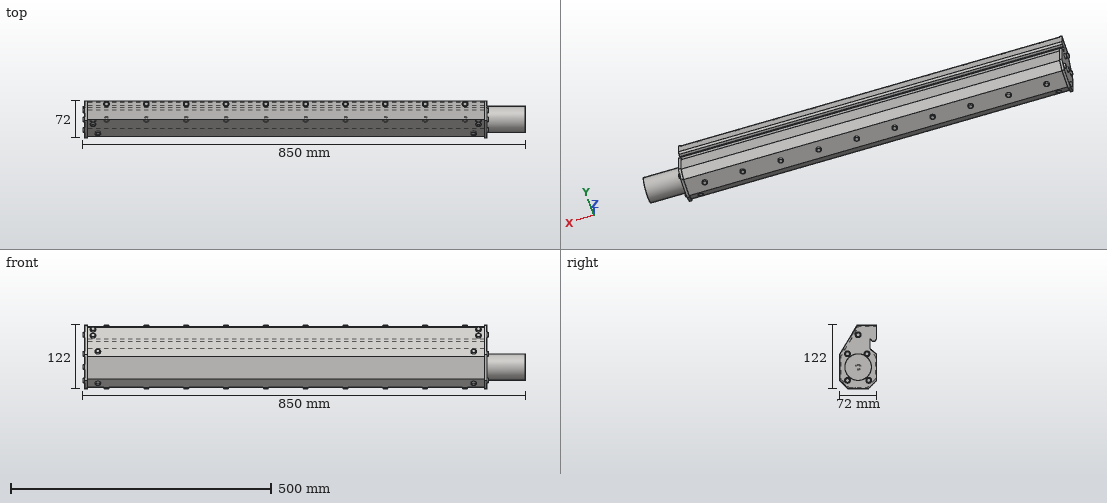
import cadquery as cq

total_length = 850.0
plate_head_height = 3.0
plate_thickness = 5.0
housing_length = 772.0
plate_start = plate_head_height
plate_end = plate_start + housing_length
middle_x = (plate_start + plate_end) / 2

half_width = 36.0
plate_height = 122.0
plate_bottom_half_width = 19.5
plate_chamfer_top = 16.0
plate_shoulder = 66.0
plate_front_top_y = -2.0

inset = 2.5
body_half_width = half_width - inset
body_top = plate_height - inset
body_bottom_half_width = 18.0
body_chamfer_top = 19.0
body_shoulder = 62.0
body_front_top_y = 0.0
body_front_step = 2.0
body_slant_top = body_top - body_front_step

undercut_y = 23.0
undercut_bottom = 77.0
undercut_top = 96.0
lip_bottom = 91.0
lip_outer_y = 32.0
lip_inner_y = 27.0

pipe_diameter = 51.0
axis_z = 42.0

head_diameter = 11.0
head_top_diameter = 7.6
body_head_height = 2.5
head_sink = 1.0

plate_screws = [(0, 104.0), (17.0, 67.0), (-20.0, 67.0), (20.0, 16.0), (-20.0, 16.0)]
row_count = 10
row_pitch = 76.5
top_row_y = 30.0
corner_screw_inset = 25.5
upper_screw_inset = 16.0
corner_screw_z = 71.0
upper_screw_heights = (102.0, 114.0)


def rear_undercut():
    """Rear edge shared by plates and housing, from the top corner down to the undercut."""
    return [
        (half_width, undercut_top),
        (lip_outer_y, lip_bottom),
        (lip_inner_y, lip_bottom),
        (undercut_y, undercut_top),
        (undercut_y, undercut_bottom),
    ]


def prism(outline, start, length):
    """Extrude a closed (Y, Z) outline along X."""
    return cq.Workplane("YZ", origin=(start, 0, 0)).polyline(outline).close().extrude(length)


def front_point(x, z):
    """Point on the slanted front of the housing at height z."""
    return (x, -body_half_width + (z - body_shoulder) * front_run / front_rise, z)


def screw_head(position, direction, height=body_head_height):
    """Screw head standing on a face at position, pointing along direction."""
    normal = cq.Vector(*direction).normalized()
    base = cq.Vector(*position)
    foot = cq.Solid.makeCylinder(head_diameter / 2, head_sink, base - normal * head_sink, normal)
    cone = cq.Solid.makeCone(head_diameter / 2, head_top_diameter / 2, height, base, normal)
    return foot.fuse(cone)


body_outline = [
    (-body_bottom_half_width, inset),
    (-body_half_width, body_chamfer_top),
    (-body_half_width, body_shoulder),
    (body_front_top_y, body_slant_top),
    (body_front_top_y, body_top),
    (half_width, body_top),
    *rear_undercut(),
    (body_half_width, body_shoulder),
    (body_half_width, body_chamfer_top),
    (body_bottom_half_width, inset),
]
result = prism(body_outline, plate_start, housing_length)

plate_outline = [
    (-plate_bottom_half_width, 0),
    (-half_width, plate_chamfer_top),
    (-half_width, plate_shoulder),
    (plate_front_top_y, plate_height),
    (half_width, plate_height),
    *rear_undercut(),
    (half_width, plate_shoulder),
    (half_width, plate_chamfer_top),
    (plate_bottom_half_width, 0),
]
for start in (plate_start, plate_end - plate_thickness):
    result = result.union(prism(plate_outline, start, plate_thickness))

pipe_root = plate_end - plate_thickness
pipe_profile = cq.Workplane("YZ", origin=(pipe_root, 0, axis_z)).circle(pipe_diameter / 2)
result = result.union(pipe_profile.extrude(total_length - pipe_root))

heads = []

for y, z in plate_screws:
    heads.append(screw_head((plate_start, y, z), (-1, 0, 0), plate_head_height))
    heads.append(screw_head((plate_end, y, z), (1, 0, 0), plate_head_height))
heads.append(screw_head((plate_start, 0, axis_z), (-1, 0, 0), plate_head_height))

for i in range(row_count):
    x = middle_x + (i - (row_count - 1) / 2) * row_pitch
    heads.append(screw_head((x, top_row_y, body_top), (0, 0, 1)))
    heads.append(screw_head((x, 0, inset), (0, 0, -1)))

front_run = body_half_width + body_front_top_y
front_rise = body_slant_top - body_shoulder
front_normal = (0, -front_rise, front_run)
chamfer_run = body_half_width - body_bottom_half_width
chamfer_rise = body_chamfer_top - inset
chamfer_normal = (0, -chamfer_rise, -chamfer_run)
chamfer_y = -(body_half_width + body_bottom_half_width) / 2
chamfer_z = (body_chamfer_top + inset) / 2

for side in (-1, 1):
    corner_x = middle_x + side * (housing_length / 2 - corner_screw_inset)
    upper_x = middle_x + side * (housing_length / 2 - upper_screw_inset)
    heads.append(screw_head(front_point(corner_x, corner_screw_z), front_normal))
    heads.append(screw_head((corner_x, chamfer_y, chamfer_z), chamfer_normal))
    for z in upper_screw_heights:
        heads.append(screw_head(front_point(upper_x, z), front_normal))

for head in heads:
    result = result.union(cq.Workplane(head))